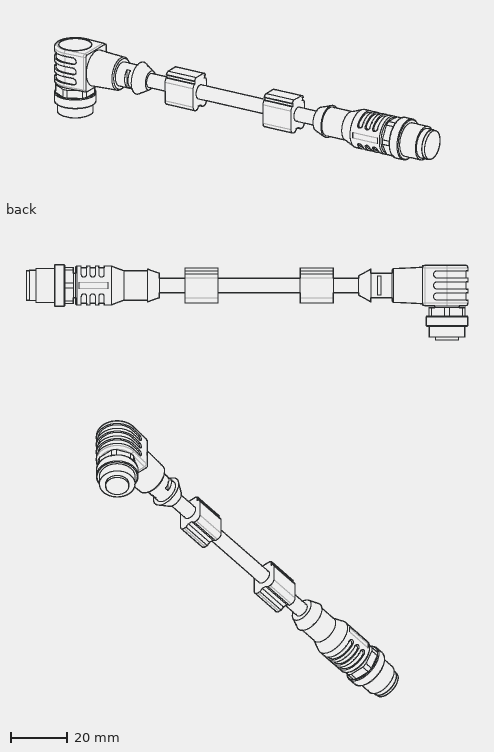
import cadquery as cq
import math


TOTAL_LENGTH = 157.1
TOTAL_HEIGHT = 26.9
RING_DIA = 15.0
RING_RADIUS = RING_DIA / 2
RING_CHAMFER = 0.3
CABLE_DIA = 5.2
NECK_DIA = 8.8
SLOT_CLEARANCE = 3.1

HEX_CORNER_DIA = 14.0
HEX_ACROSS_FLATS = 12.9
HEX_LENGTH = 3.0

HEAD_AXIS_X = RING_RADIUS
HEAD_HALF_HEIGHT = 7.2
HEAD_EDGE_FILLET = 1.0
HEAD_SIDE_END_X = 15.2
HEAD_SIDE_END_HALF_WIDTH = 7.0
HEAD_END_LENGTH = 1.0
HEAD_END_TAPER = 12.0
HEAD_LABEL_DIA = 11.8
HEAD_LABEL_DEPTH = 0.2
HEAD_GROOVE_DEPTH = 0.6
HEAD_GROOVE_WIDTH = 2.5
HEAD_GROOVE_PITCH = 4.0
HEAD_GROOVE_END_X = 12.3

SOCKET_HEX_TOP = -7.9
SOCKET_RING_LENGTH = 3.8
SOCKET_SLEEVE_DIA = 12.7
SOCKET_SLEEVE_BOTTOM = -18.4
SOCKET_TIP_DIA = 8.3
SOCKET_TIP_BOTTOM = RING_RADIUS - TOTAL_HEIGHT

SLEEVE_START_DIA = 13.2
SLEEVE_END_DIA = 12.1
SLEEVE_END_X = 27.0
SLEEVE_CHAMFER = 0.5
RELIEF_DIA = 8.8
FLANGE_X = 34.5
FLANGE_DIA = 11.8
FLANGE_TIP_DIA = 6.9
FLANGE_END_X = 39.0
NOTCH_X = 31.5
NOTCH_WIDTH = 1.4
NOTCH_FLOOR = 2.8

CLIP_START_XS = (47.9, 88.9)
CLIP_LENGTH = 11.8
CLIP_HALF_WIDTH = 4.5
CLIP_LID_HALF_WIDTH = 3.8
CLIP_FLAT_HALF_WIDTH = 2.5
CLIP_TOP = 6.3
CLIP_LID_BOTTOM = 5.2
CLIP_NECK_HALF_WIDTH = 3.3
CLIP_SHOULDER_TOP = 4.1
CLIP_SIDE_TOP = 2.7
CLIP_SIDE_BOTTOM = -4.4
CLIP_BOTTOM = -6.3
CLIP_LEG_INSIDE = 1.9
CLIP_LEG_OUTSIDE = 2.8
CLIP_NOTCH_HALF_WIDTH = 0.8
CLIP_NOTCH_TOP = -5.3
CLIP_ROUND_RADIUS = 1.9

PLUG_START_X = 109.8
PLUG_START_DIA = 8.8
PLUG_FLANGE_X = 114.0
PLUG_FLANGE_DIA = 11.8
PLUG_SHAFT_DIA = 10.5
PLUG_CONE_X = 122.4
GRIP_START_X = 127.0
GRIP_END_X = 139.7
GRIP_DIA = 14.0
GRIP_CHAMFER = 0.5
PLUG_HEX_X = 140.5
PLUG_RING_END_X = 147.2
PLUG_THREAD_DIA = 12.3
PLUG_THREAD_END_X = 153.8
PLUG_NOSE_DIA = 10.8
PLUG_LIP_DIA = 10.5
PLUG_LIP_X = 156.0
GRIP_SLOT_FLOOR_DIA = 12.7
GRIP_SLOT_WIDTH = 1.9
GRIP_SLOT_PITCH = 3.1
GRIP_SLOT_MID_X = 133.5
GRIP_SLOT_END_Z = 3.0
GRIP_FLAT_START_X = 128.0
GRIP_FLAT_LENGTH = 10.4
GRIP_FLAT_OFFSET = 6.9


def cone_x(start_x, end_x, start_dia, end_dia):
    """Cylinder or cone around the cable axis."""
    outline = [
        (start_x, 0),
        (start_x, start_dia / 2),
        (end_x, end_dia / 2),
        (end_x, 0),
    ]
    return cq.Workplane("XY").polyline(outline).close().revolve(360, (0, 0, 0), (1, 0, 0))


def rod_x(start_x, end_x, dia):
    return cone_x(start_x, end_x, dia, dia)


def rod_z(bottom, top, dia):
    """Cylinder around the vertical socket axis."""
    base = cq.Workplane("XY", origin=(HEAD_AXIS_X, 0, bottom))
    return base.circle(dia / 2).extrude(top - bottom)


def rounded_hex(base):
    """Hexagon with corners on the Y axis, cut back to a round at its corners."""
    point_dia = HEX_ACROSS_FLATS / math.cos(math.pi / 6)
    hexagon = base.polygon(6, point_dia).extrude(HEX_LENGTH)
    return hexagon.intersect(base.circle(HEX_CORNER_DIA / 2).extrude(HEX_LENGTH))


def head_outline(inset):
    """Plan outline: round at the back, sides narrowing toward the cable."""
    radius = RING_RADIUS - inset
    half_width = HEAD_SIDE_END_HALF_WIDTH - inset
    return (
        cq.Workplane("XY", origin=(0, 0, -HEAD_HALF_HEIGHT))
        .moveTo(HEAD_AXIS_X, radius)
        .threePointArc((HEAD_AXIS_X - radius, 0), (HEAD_AXIS_X, -radius))
        .lineTo(HEAD_SIDE_END_X, -half_width)
        .lineTo(HEAD_SIDE_END_X, half_width)
        .close()
        .extrude(2 * HEAD_HALF_HEIGHT)
    )


def head_grooves():
    """Three round-ended grooves wrapped around the back and sides of the head."""
    slot_length = HEAD_GROOVE_END_X + SLOT_CLEARANCE
    slot_mid_x = HEAD_GROOVE_END_X - slot_length / 2
    centers = [(slot_mid_x, i * HEAD_GROOVE_PITCH) for i in (-1, 0, 1)]
    slots = (
        cq.Workplane("XZ")
        .pushPoints(centers)
        .slot2D(slot_length, HEAD_GROOVE_WIDTH)
        .extrude(RING_DIA, both=True)
    )
    return slots.cut(head_outline(HEAD_GROOVE_DEPTH))


def socket_head():
    body = head_outline(0)
    body = body.faces("<Z or >Z").edges("not >X").fillet(HEAD_EDGE_FILLET)
    end = (
        body.faces(">X")
        .wires()
        .toPending()
        .workplane()
        .extrude(HEAD_END_LENGTH, taper=HEAD_END_TAPER, combine=False)
    )
    label = rod_z(HEAD_HALF_HEIGHT - HEAD_LABEL_DEPTH, HEAD_HALF_HEIGHT, HEAD_LABEL_DIA)
    return body.cut(head_grooves()).cut(label).union(end)


def socket_coupling():
    hex_bottom = SOCKET_HEX_TOP - HEX_LENGTH
    ring_bottom = hex_bottom - SOCKET_RING_LENGTH
    hex_base = cq.Workplane("XY", origin=(HEAD_AXIS_X, 0, hex_bottom))
    hex_base = hex_base.transformed(rotate=(0, 0, 90))
    ring = rod_z(ring_bottom, hex_bottom, RING_DIA).faces("<Z or >Z").edges().chamfer(RING_CHAMFER)
    return (
        rod_z(SOCKET_HEX_TOP, -HEAD_HALF_HEIGHT, NECK_DIA)
        .union(rounded_hex(hex_base))
        .union(ring)
        .union(rod_z(SOCKET_SLEEVE_BOTTOM, ring_bottom, SOCKET_SLEEVE_DIA))
        .union(rod_z(SOCKET_TIP_BOTTOM, SOCKET_SLEEVE_BOTTOM, SOCKET_TIP_DIA))
    )


def strain_relief():
    sleeve = cone_x(HEAD_SIDE_END_X, SLEEVE_END_X, SLEEVE_START_DIA, SLEEVE_END_DIA)
    sleeve = sleeve.faces(">X").edges().chamfer(SLEEVE_CHAMFER)
    shaft = rod_x(SLEEVE_END_X, FLANGE_X, RELIEF_DIA)
    for side in (-1, 1):
        notch_y = side * (NOTCH_FLOOR + SLOT_CLEARANCE / 2)
        notch = cq.Workplane("XY", origin=(NOTCH_X, notch_y, 0))
        shaft = shaft.cut(notch.box(NOTCH_WIDTH, SLOT_CLEARANCE, RELIEF_DIA))
    flange = cone_x(FLANGE_X, FLANGE_END_X, FLANGE_DIA, FLANGE_TIP_DIA)
    return sleeve.union(shaft).union(flange)


def clip(start_x):
    """Snap-on clip: rounded lid, undercut, rounded shoulders and a notch between two legs."""
    half = (
        cq.Workplane("YZ", origin=(start_x, 0, 0))
        .moveTo(0, CLIP_TOP)
        .lineTo(CLIP_FLAT_HALF_WIDTH, CLIP_TOP)
        .radiusArc((CLIP_LID_HALF_WIDTH, CLIP_LID_BOTTOM), CLIP_ROUND_RADIUS)
        .lineTo(CLIP_NECK_HALF_WIDTH, CLIP_LID_BOTTOM)
        .lineTo(CLIP_NECK_HALF_WIDTH, CLIP_SHOULDER_TOP)
        .lineTo(CLIP_LID_HALF_WIDTH, CLIP_SHOULDER_TOP)
        .radiusArc((CLIP_HALF_WIDTH, CLIP_SIDE_TOP), CLIP_ROUND_RADIUS)
        .lineTo(CLIP_HALF_WIDTH, CLIP_SIDE_BOTTOM)
        .radiusArc((CLIP_LEG_OUTSIDE, CLIP_BOTTOM), CLIP_ROUND_RADIUS)
        .lineTo(CLIP_LEG_INSIDE, CLIP_BOTTOM)
        .lineTo(CLIP_NOTCH_HALF_WIDTH, CLIP_NOTCH_TOP)
        .lineTo(0, CLIP_NOTCH_TOP)
        .close()
        .extrude(CLIP_LENGTH)
    )
    return half.union(half.mirror("XZ"))


def grip_slots():
    """Three round-ended slots over the top of the grip and three underneath."""
    slot_length = GRIP_DIA / 2
    slot_mid_z = GRIP_SLOT_END_Z + slot_length / 2
    centers = [
        (GRIP_SLOT_MID_X + i * GRIP_SLOT_PITCH, side * slot_mid_z)
        for i in (-1, 0, 1)
        for side in (-1, 1)
    ]
    slots = (
        cq.Workplane("XZ")
        .pushPoints(centers)
        .slot2D(slot_length, GRIP_SLOT_WIDTH, 90)
        .extrude(GRIP_DIA, both=True)
    )
    return slots.cut(rod_x(GRIP_START_X, GRIP_END_X, GRIP_SLOT_FLOOR_DIA))


def grip_flats():
    """Narrow flats along both sides of the grip."""
    flat_mid_x = GRIP_FLAT_START_X + GRIP_FLAT_LENGTH / 2
    flat_mid_y = GRIP_FLAT_OFFSET + SLOT_CLEARANCE / 2
    centers = [(flat_mid_x, side * flat_mid_y) for side in (-1, 1)]
    return cq.Workplane("XY").pushPoints(centers).box(GRIP_FLAT_LENGTH, SLOT_CLEARANCE, GRIP_DIA)


def plug():
    hex_end_x = PLUG_HEX_X + HEX_LENGTH
    ring = rod_x(hex_end_x, PLUG_RING_END_X, RING_DIA)
    ring = ring.faces("<X or >X").edges().chamfer(RING_CHAMFER)
    grip = rod_x(GRIP_START_X, GRIP_END_X, GRIP_DIA)
    grip = grip.faces(">X").edges().chamfer(GRIP_CHAMFER)
    hex_base = cq.Workplane("YZ", origin=(PLUG_HEX_X, 0, 0))
    return (
        cone_x(PLUG_START_X, PLUG_FLANGE_X, PLUG_START_DIA, PLUG_FLANGE_DIA)
        .union(rod_x(PLUG_FLANGE_X, PLUG_CONE_X, PLUG_SHAFT_DIA))
        .union(cone_x(PLUG_CONE_X, GRIP_START_X, PLUG_SHAFT_DIA, GRIP_DIA))
        .union(grip.cut(grip_slots()).cut(grip_flats()))
        .union(rod_x(GRIP_END_X, PLUG_HEX_X, NECK_DIA))
        .union(rounded_hex(hex_base))
        .union(ring)
        .union(rod_x(PLUG_RING_END_X, PLUG_THREAD_END_X, PLUG_THREAD_DIA))
        .union(rod_x(PLUG_THREAD_END_X, PLUG_LIP_X, PLUG_NOSE_DIA))
        .union(rod_x(PLUG_LIP_X, TOTAL_LENGTH, PLUG_LIP_DIA))
    )


result = (
    socket_head()
    .union(socket_coupling())
    .union(strain_relief())
    .union(rod_x(FLANGE_END_X, PLUG_START_X, CABLE_DIA))
    .union(plug())
)
for clip_x in CLIP_START_XS:
    result = result.union(clip(clip_x))